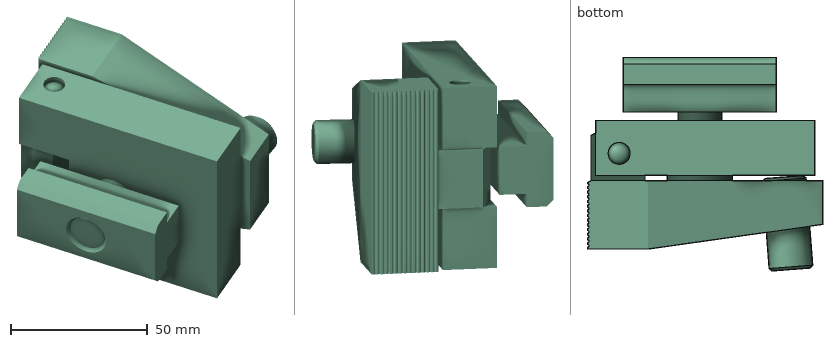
import cadquery as cq
import math


clamp_width = 68.0

arm_length = 86.0
jaw_length = 22.2
jaw_height = 25.0
arm_end_height = 16.0
arm_end_width = 34.0
lead_in_depth = 1.2
lead_in_angle = 30.0

groove_count = 14
groove_span = 23.9
tooth_pitch = groove_span / groove_count
crest_width = 0.7
groove_depth = 0.5
groove_floor = 0.35

tongue_length = 19.8
tongue_width = 21.6
tongue_drop = 20.7
tongue_bevel_length = 7.4
tongue_corner = 5.2

base_gap = 2.0
base_start = 2.9
base_length = 80.15
base_thickness = 20.0
base_top = -base_gap
base_bottom = base_top - base_thickness
slot_end = 23.2
slot_width = 22.2

pin_x = 11.5
pin_y = -10.0
pin_diameter = 8.0
pin_recess = 2.5
dome_height = 1.7

bolt_x = 41.0
shank_diameter = 16.1
collar_diameter = 24.0
head_gap = 3.0
head_length = 56.0
head_height = 20.0
flange_height = 10.0
neck_width = 18.0
flange_width = 28.0
flange_bevel = 2.5
head_top = base_bottom - head_gap
head_bottom = head_top - head_height

ring_bottom_radius = 6.9
ring_depth = 1.2
core_radius = 6.8
core_depth = 1.0

screw_diameter = 16.1
screw_length = 34.0
screw_chamfer = 1.0
screw_tilt = 4.4
screw_top_x = 74.4
screw_top_y = 32.5


def cylinder_along_y(diameter, x, top, bottom):
    """Cylinder parallel to Y at height Z = 0, between two Y levels."""
    disc = cq.Workplane("XZ", origin=(x, top, 0)).circle(diameter / 2)
    return disc.extrude(top - bottom)


def make_screw_envelope():
    """Plain cylinder filled by the set screw, leaning towards +X."""
    tilt = math.radians(screw_tilt)
    axis = cq.Vector(math.sin(tilt), math.cos(tilt), 0)
    top_centre = cq.Vector(screw_top_x, screw_top_y, 0)
    end_plane = cq.Plane(origin=top_centre - axis * screw_length, xDir=(0, 0, 1), normal=axis)
    return cq.Workplane(end_plane).circle(screw_diameter / 2).extrude(screw_length)


def make_set_screw():
    return make_screw_envelope().edges("%CIRCLE").chamfer(screw_chamfer)


def make_tooth_groove(index):
    """Trapezoidal groove across the full width of the jaw face."""
    upper_edge = jaw_height - index * tooth_pitch - crest_width
    lower_edge = jaw_height - (index + 1) * tooth_pitch
    flank = (upper_edge - lower_edge - groove_floor) / 2
    outline = [
        (0, upper_edge),
        (groove_depth, upper_edge - flank),
        (groove_depth, lower_edge + flank),
        (0, lower_edge),
    ]
    return cq.Workplane("XY").polyline(outline).close().extrude(clamp_width / 2, both=True)


def make_tongue():
    back = lead_in_depth + tongue_length
    bevel_height = tongue_bevel_length * math.tan(math.radians(lead_in_angle))
    outline = [
        (lead_in_depth, 0),
        (back, 0),
        (back, tongue_corner - tongue_drop),
        (back - tongue_corner, -tongue_drop),
        (lead_in_depth + tongue_bevel_length, -tongue_drop),
        (lead_in_depth, bevel_height - tongue_drop),
    ]
    return cq.Workplane("XY").polyline(outline).close().extrude(tongue_width / 2, both=True)


def make_jaw_arm():
    lead_in_height = lead_in_depth * math.tan(math.radians(lead_in_angle))
    side_outline = [
        (lead_in_depth, 0),
        (arm_length, 0),
        (arm_length, arm_end_height),
        (jaw_length, jaw_height),
        (0, jaw_height),
        (0, lead_in_height),
    ]
    plan_outline = [
        (0, -clamp_width / 2),
        (jaw_length, -clamp_width / 2),
        (arm_length, -arm_end_width / 2),
        (arm_length, arm_end_width / 2),
        (jaw_length, clamp_width / 2),
        (0, clamp_width / 2),
    ]
    side = cq.Workplane("XY").polyline(side_outline).close().extrude(clamp_width / 2, both=True)
    plan = cq.Workplane("XZ").polyline(plan_outline).close().extrude(-jaw_height)
    arm = side.intersect(plan)
    for index in range(groove_count):
        arm = arm.cut(make_tooth_groove(index))
    arm = arm.union(make_tongue())
    return arm.cut(make_pin_bore()).cut(make_screw_envelope())


def make_pin_bore():
    bore = cq.Workplane("XY").center(pin_x, pin_y).circle(pin_diameter / 2)
    return bore.extrude(clamp_width / 2, both=True)


def make_pivot_pin():
    radius = pin_diameter / 2
    rim = clamp_width / 2 - pin_recess
    tip = rim + dome_height
    dome_radius = (radius**2 + dome_height**2) / (2 * dome_height)
    half_angle = math.asin(radius / dome_radius) / 2
    mid_radius = dome_radius * math.sin(half_angle)
    mid_height = tip - dome_radius * (1 - math.cos(half_angle))
    profile = (
        cq.Workplane("XZ", origin=(pin_x, pin_y, 0))
        .moveTo(0, -tip)
        .threePointArc((mid_radius, -mid_height), (radius, -rim))
        .lineTo(radius, rim)
        .threePointArc((mid_radius, mid_height), (0, tip))
        .close()
    )
    return profile.revolve(360, (0, 0), (0, 1))


def make_base_plate():
    plate = cq.Workplane("XY").box(base_length, base_thickness, clamp_width, centered=(False, False, True))
    plate = plate.translate((base_start, base_bottom, 0))
    slot = cq.Workplane("XY").box(slot_end, base_thickness, slot_width, centered=(False, False, True))
    slot = slot.translate((0, base_bottom, 0))
    shank_hole = cylinder_along_y(shank_diameter, bolt_x, base_top, base_bottom)
    return plate.cut(slot).cut(make_pin_bore()).cut(shank_hole)


def make_bolt_head():
    """T-shaped section, running along X, with both outer flange corners bevelled at 45 degrees."""
    flange_top = head_bottom + flange_height
    half_outline = [
        (head_top, neck_width / 2),
        (flange_top, neck_width / 2),
        (flange_top, flange_width / 2),
        (head_bottom + flange_bevel, flange_width / 2),
        (head_bottom, flange_width / 2 - flange_bevel),
    ]
    outline = half_outline + [(y, -z) for y, z in reversed(half_outline)]
    section = cq.Workplane("YZ", origin=(bolt_x, 0, 0)).polyline(outline).close()
    return section.extrude(head_length / 2, both=True)


def make_end_ring():
    """V-shaped ring groove around the core in the bolt's end face."""
    outline = [
        (0, 0),
        (shank_diameter / 2, 0),
        (ring_bottom_radius, ring_depth),
        (core_radius, core_depth),
        (0, core_depth),
    ]
    section = cq.Workplane("XY", origin=(bolt_x, head_bottom, 0)).polyline(outline).close()
    return section.revolve(360, (0, 0), (0, 1))


def make_t_bolt():
    collar = cylinder_along_y(collar_diameter, bolt_x, 0, base_top)
    shank = cylinder_along_y(shank_diameter, bolt_x, base_top, head_top)
    return make_bolt_head().cut(make_end_ring()).union(shank).union(collar)


jaw_arm = make_jaw_arm()
base_plate = make_base_plate()
pivot_pin = make_pivot_pin()
t_bolt = make_t_bolt()
set_screw = make_set_screw()

result = cq.Compound.makeCompound(
    [jaw_arm.val(), base_plate.val(), pivot_pin.val(), t_bolt.val(), set_screw.val()]
)